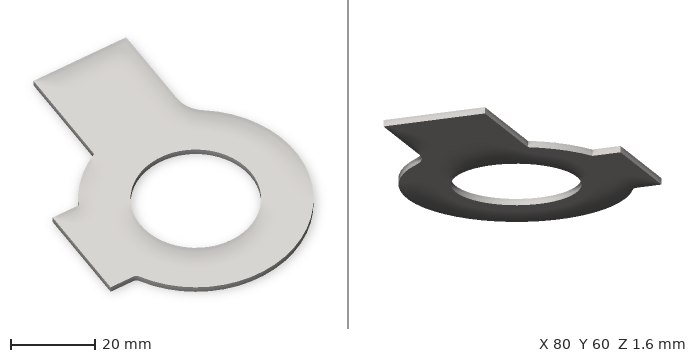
import cadquery as cq

outer_diameter = 56.0
hole_diameter = 31.0
thickness = 1.6
tab_width = 26.0
long_tab_reach = 52.0
short_tab_reach = 32.0
long_tab_fillet = 8.0
short_tab_fillet = 1.6

outer_radius = outer_diameter / 2
half_width = tab_width / 2
junction_reach = (outer_radius**2 - half_width**2) ** 0.5


def plate(length, width, x, y):
    """Flat rectangular plate centred at (x, y), resting on Z = 0."""
    return cq.Workplane("XY").center(x, y).rect(length, width).extrude(thickness)


def fillet_corner(body, x, y, radius):
    """Round the upright edge nearest to (x, y)."""
    corner = cq.selectors.NearestToPointSelector((x, y, thickness / 2))
    return body.edges("|Z").edges(corner).fillet(radius)


ring = cq.Workplane("XY").circle(outer_radius).extrude(thickness)
long_tab = plate(long_tab_reach, tab_width, -long_tab_reach / 2, 0)
short_tab = plate(tab_width, short_tab_reach, 0, -short_tab_reach / 2)
body = ring.union(long_tab).union(short_tab)

body = fillet_corner(body, -junction_reach, half_width, long_tab_fillet)
body = fillet_corner(body, half_width, -junction_reach, short_tab_fillet)

hole = cq.Workplane("XY").circle(hole_diameter / 2).extrude(thickness)
result = body.cut(hole)